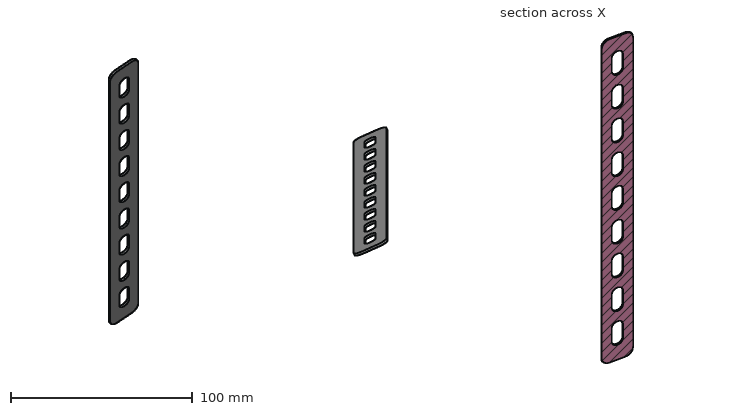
import cadquery as cq

length = 240.0
width = 20.0
thickness = 1.5
corner_radius = 5.0

slot_count = 9
slot_end_distance = 20.0
slot_pitch = (length - 2 * slot_end_distance) / (slot_count - 1)
slot_length = 17.0
slot_width = 6.7

strip = (
    cq.Workplane("YZ")
    .rect(width, length)
    .extrude(thickness / 2, both=True)
    .edges("|X")
    .fillet(corner_radius)
)

slots = (
    cq.Workplane("YZ")
    .rarray(2.5, slot_pitch, 1, slot_count)
    .slot2D(slot_length, slot_width, angle=90)
    .extrude(thickness, both=True)
)

result = strip.cut(slots)